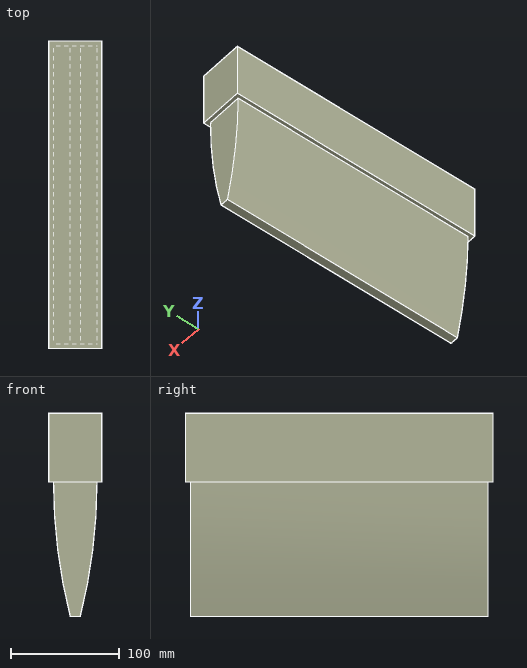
import cadquery as cq

total_height = 187.0

head_width = 49.0
head_length = 283.0
head_height = 63.5

blade_length = 274.0
blade_root_width = 40.2
blade_tip_width = 9.3
blade_height = total_height - head_height


def make_head():
    """Plain block standing on the plane Z = 0."""
    return cq.Workplane("XY").box(head_width, head_length, head_height, centered=(True, True, False))


def make_blade():
    """Blade with two arched flanks that leave the head vertically and close in on a flat tip."""
    half_root = blade_root_width / 2
    half_tip = blade_tip_width / 2
    inset = half_root - half_tip

    flank_radius = (blade_height**2 + inset**2) / (2 * inset)
    return (
        cq.Workplane("XZ")
        .moveTo(-half_root, 0)
        .lineTo(half_root, 0)
        .radiusArc((half_tip, -blade_height), flank_radius)
        .lineTo(-half_tip, -blade_height)
        .radiusArc((-half_root, 0), flank_radius)
        .close()
        .extrude(blade_length / 2, both=True)
    )


head = make_head()
blade = make_blade()

result = cq.Compound.makeCompound([head.val(), blade.val()])